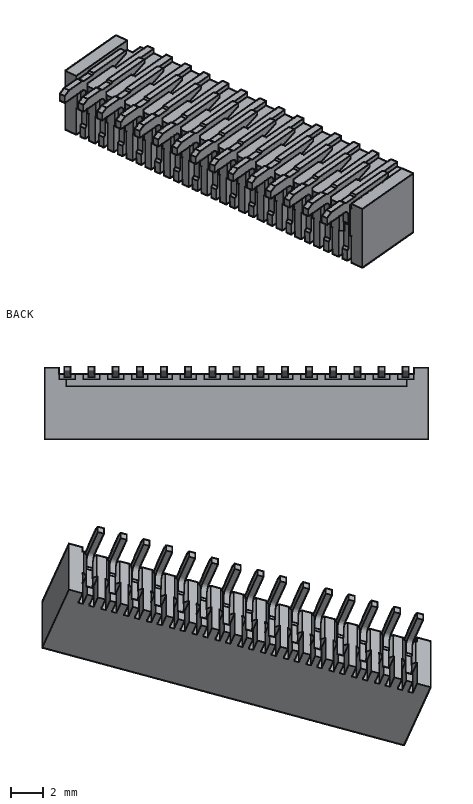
import cadquery as cq

length = 23.8
housing_depth = 5.0
deck_height = 4.07
end_wall_height = 4.45

contact_count = 15
pitch = 1.5
contact_width = 0.4
contact_top = 4.52
contact_thickness = 0.74
tail_reach = 2.0
contact_rear = 4.02
leg_front = 0.07
foot_front = 0.0
elbow_radius = 0.33
tip_bevel_length = 0.43
tip_bevel_height = 0.21
rear_tip_bottom = 4.24
rear_taper_start = 3.85
rear_tip_radius = 0.1

relief_depth = 0.083
relief_ramp = 0.15
top_relief_rear = 0.85
top_relief_front = -0.29
leg_relief_top = 2.78
leg_relief_bottom = 0.79

slot_width = 1.0
slot_height = 2.0
slot_depth = leg_front + contact_thickness
lead_in_width = 0.85
lead_in_depth = 0.21

ledge_reach = 0.75
ledge_end_inset = 1.33
ledge_bottom = 3.3
channel_floor = 3.74
channel_front = 2.71

contact_xs = [(i - (contact_count - 1) / 2) * pitch for i in range(contact_count)]
end_wall_thickness = (length - (contact_count - 1) * pitch - slot_width) / 2
housing_rear = housing_depth + ledge_reach


def block(x_center, width, y_range, z_range):
    """Box centred on x_center, spanning the given Y and Z ranges."""
    y_start, y_end = y_range
    z_start, z_end = z_range
    return (
        cq.Workplane("XY")
        .box(width, y_end - y_start, z_end - z_start, centered=(True, False, False))
        .translate((x_center, y_start, z_start))
    )


def lead_in(x_center):
    """Upright tapered groove that narrows from the front face to the contact."""
    half_mouth = lead_in_width / 2
    half_throat = contact_width / 2
    return (
        cq.Workplane("XY")
        .workplane(offset=slot_height)
        .polyline([
            (x_center - half_mouth, 0),
            (x_center + half_mouth, 0),
            (x_center + half_throat, lead_in_depth),
            (x_center - half_throat, lead_in_depth),
        ])
        .close()
        .extrude(deck_height - slot_height)
    )


def make_housing():
    """Body with end walls and rear ledge, opened up around every contact."""
    body = block(0, length, (0, housing_depth), (0, deck_height))
    ledge_width = length - 2 * ledge_end_inset
    body = body.union(block(0, ledge_width, (channel_front, housing_rear), (ledge_bottom, deck_height)))
    wall_x = (length - end_wall_thickness) / 2
    for x in (-wall_x, wall_x):
        body = body.union(block(x, end_wall_thickness, (0, housing_depth), (0, end_wall_height)))
    for x in contact_xs:
        body = body.cut(block(x, slot_width, (0, slot_depth), (0, slot_height)))
        body = body.cut(lead_in(x))
        body = body.cut(block(x, slot_width, (channel_front, housing_rear), (channel_floor, deck_height)))
    return body


def make_contact(x_center):
    """L-shaped contact: a top bar with a front tail, and a leg that reaches the underside.

    Behind the deck the underside of the bar rises to a thin tip clear of the channel floor.
    """
    bar_bottom = contact_top - contact_thickness
    leg_rear = leg_front + contact_thickness
    relief_z = contact_top - relief_depth
    relief_y = leg_front + relief_depth
    return (
        cq.Workplane("YZ")
        .moveTo(-tail_reach, bar_bottom)
        .lineTo(-tail_reach, contact_top - tip_bevel_height)
        .lineTo(-tail_reach + tip_bevel_length, contact_top)
        .lineTo(top_relief_front, contact_top)
        .lineTo(top_relief_front + relief_ramp, relief_z)
        .lineTo(top_relief_rear - relief_ramp, relief_z)
        .lineTo(top_relief_rear, contact_top)
        .lineTo(contact_rear - rear_tip_radius, contact_top)
        .radiusArc((contact_rear, contact_top - rear_tip_radius), rear_tip_radius)
        .lineTo(contact_rear, rear_tip_bottom + rear_tip_radius)
        .radiusArc((contact_rear - rear_tip_radius, rear_tip_bottom), rear_tip_radius)
        .lineTo(channel_front, rear_taper_start)
        .lineTo(channel_front, bar_bottom)
        .lineTo(leg_rear, bar_bottom)
        .lineTo(leg_rear, 0)
        .lineTo(foot_front, 0)
        .lineTo(foot_front, leg_relief_bottom)
        .lineTo(relief_y, leg_relief_bottom + relief_ramp)
        .lineTo(relief_y, leg_relief_top - relief_ramp)
        .lineTo(leg_front, leg_relief_top)
        .lineTo(leg_front, bar_bottom - elbow_radius)
        .radiusArc((leg_front - elbow_radius, bar_bottom), -elbow_radius)
        .close()
        .extrude(contact_width / 2, both=True)
        .translate((x_center, 0, 0))
    )


result = make_housing()
for contact_x in contact_xs:
    result = result.union(make_contact(contact_x))